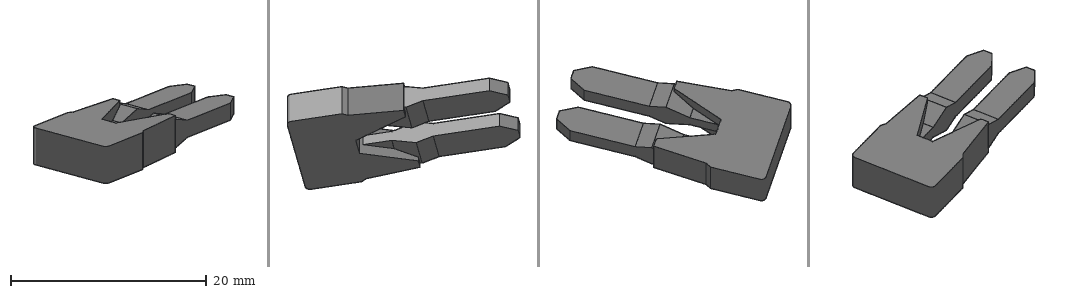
import cadquery as cq

length = 22.78
body_width = 9.9
body_thickness = 4.0

corner_radius = 0.52
body_length = 12.1
body_end_width = 8.3
shoulder_start = 5.8
shoulder_end = 6.35
shoulder_width = 9.25

notch_bottom = 6.42
notch_bottom_width = 1.87
notch_mouth_width = 6.42

prong_gap = 2.15
prong_outer_width = 8.15
prong_thickness = 1.87
tip_length = 1.73
tip_width = 1.03

ridge_start = 14.1
ridge_peak = 12.32
ridge_thickness = 3.05
root_start = 9.77
root_thickness = 1.32


def mirrored_outline(half_outline):
    """Close an outline by reflecting its right half about the Y axis."""
    return half_outline + [(-x, y) for x, y in reversed(half_outline)]


def extruded_body(outline):
    """Extrude an XY outline to the body thickness, centred on Z."""
    return cq.Workplane("XY").polyline(outline).close().extrude(body_thickness / 2, both=True)


def make_body():
    body = extruded_body(mirrored_outline([
        (body_width / 2, 0),
        (body_width / 2, shoulder_start),
        (shoulder_width / 2, shoulder_end),
        (body_end_width / 2, body_length),
    ]))
    body = body.edges("|Z").edges("<Y").fillet(corner_radius)
    notch = extruded_body(mirrored_outline([
        (notch_bottom_width / 2, notch_bottom),
        (notch_mouth_width / 2, body_length),
    ]))
    return body.cut(notch)


def make_prong(side):
    """Make one prong; side is -1 for left and 1 for right."""
    inner = prong_gap / 2
    outer = prong_outer_width / 2
    middle = (inner + outer) / 2
    tip_start = length - tip_length
    plan = extruded_body([(side * x, y) for x, y in [
        (inner, notch_bottom),
        (outer, notch_bottom),
        (outer, tip_start),
        (middle + tip_width / 2, length),
        (middle - tip_width / 2, length),
        (inner, tip_start),
    ]])

    upper = [
        (notch_bottom, root_thickness / 2),
        (root_start, root_thickness / 2),
        (ridge_peak, ridge_thickness / 2),
        (ridge_start, prong_thickness / 2),
        (length, prong_thickness / 2),
    ]
    lower = [(y, -z) for y, z in reversed(upper)]
    profile = cq.Workplane("YZ").polyline(upper + lower).close().extrude(body_width / 2, both=True)
    return plan.intersect(profile)


result = make_body()
for side in (-1, 1):
    result = result.union(make_prong(side))